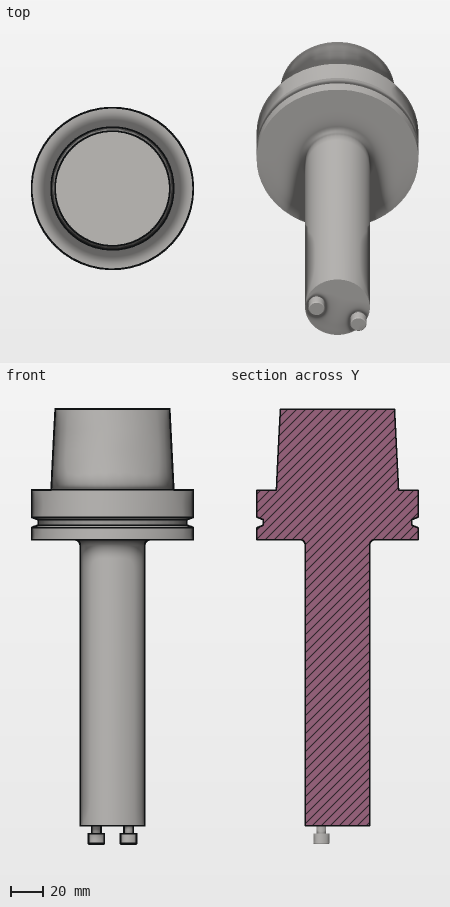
import cadquery as cq

total_height = 269.0
taper_length = 50.0
flange_thickness = 31.0
screw_length = 11.3
head_height = 6.5

flange_radius = 100.0 / 2
groove_floor_radius = 92.0 / 2
groove_top_depth = 17.0
groove_mouth_width = 6.5
groove_floor_width = 3.2

taper_base_radius = 75.9 / 2
taper_slope = 1 / 20
taper_top_radius = taper_base_radius - taper_slope * taper_length

arbor_radius = 40.0 / 2
neck_fillet = 3.2

screw_shank_radius = 6.0 / 2
screw_head_radius = 10.0 / 2
head_chamfer = 0.5
screw_offset = 10.0
shank_embedment = 2.7

flange_top = total_height - taper_length
flange_bottom = flange_top - flange_thickness


def make_holder_body():
    """Revolve the taper, the grooved flange, the filleted neck and the arbor."""
    groove_top = flange_top - groove_top_depth
    groove_bottom = groove_top - groove_mouth_width
    wall_height = (groove_mouth_width - groove_floor_width) / 2
    profile = (
        cq.Workplane("XZ")
        .moveTo(0, screw_length)
        .lineTo(arbor_radius, screw_length)
        .lineTo(arbor_radius, flange_bottom - neck_fillet)
        .radiusArc((arbor_radius + neck_fillet, flange_bottom), neck_fillet)
        .lineTo(flange_radius, flange_bottom)
        .lineTo(flange_radius, groove_bottom)
        .lineTo(groove_floor_radius, groove_bottom + wall_height)
        .lineTo(groove_floor_radius, groove_top - wall_height)
        .lineTo(flange_radius, groove_top)
        .lineTo(flange_radius, flange_top)
        .lineTo(taper_base_radius, flange_top)
        .lineTo(taper_top_radius, total_height)
        .lineTo(0, total_height)
        .close()
    )
    return profile.revolve(360, (0, 0, 0), (0, 1, 0))


def make_screw(x, y):
    """Build one protruding cap screw with its chamfered head at the bottom."""
    head = (
        cq.Workplane("XY")
        .center(x, y)
        .circle(screw_head_radius)
        .extrude(head_height)
        .faces("<Z")
        .chamfer(head_chamfer)
    )
    shank = (
        cq.Workplane("XY")
        .center(x, y)
        .circle(screw_shank_radius)
        .extrude(screw_length + shank_embedment)
    )
    return head.union(shank)


result = make_holder_body()

for side in (-1, 1):
    result = result.union(make_screw(side * screw_offset, -side * screw_offset))